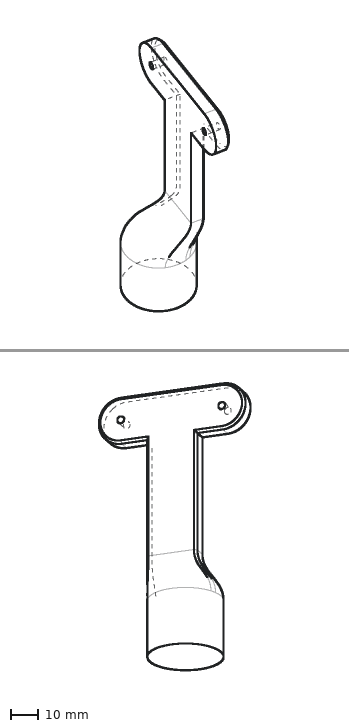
import cadquery as cq
import math

total_height = 99.8
socket_diameter = 28.0
socket_height = 22.0
socket_radius = socket_diameter / 2
back_y = socket_radius

plate_thickness = 6.0
back_chamfer = 1.0
stem_width = 20.0
stem_bottom = 35.9
head_length = 58.0
head_height = 18.1
head_center_z = total_height - head_height / 2
hole_diameter = 2.7
hole_spacing = head_length - head_height

blend_stations = 12
points_per_side = 8
end_pull = 7.5


def make_plate():
    """T-shaped plate with its back outline chamfered."""
    stem_height = head_center_z - stem_bottom
    front = cq.Workplane("XZ", origin=(0, back_y, 0))
    head = front.center(0, head_center_z).slot2D(head_length, head_height).extrude(plate_thickness)
    stem = (
        front.center(0, stem_bottom + stem_height / 2)
        .rect(stem_width, stem_height)
        .extrude(plate_thickness)
    )
    above_stem_bottom = cq.selectors.BoxSelector(
        (-head_length, back_y - back_chamfer / 2, stem_bottom + back_chamfer / 2),
        (head_length, back_y + back_chamfer / 2, total_height + back_chamfer),
    )
    plate = head.union(stem).faces(">Y").edges(above_stem_bottom).chamfer(back_chamfer)
    holes = (
        front.center(0, head_center_z)
        .pushPoints([(-hole_spacing / 2, 0), (hole_spacing / 2, 0)])
        .circle(hole_diameter / 2)
        .extrude(plate_thickness)
    )
    return plate.cut(holes)


def stem_corners():
    """Corners of the stem cross-section, clockwise from the back left corner."""
    half = stem_width / 2
    front_y = back_y - plate_thickness
    return [
        (-half + back_chamfer, back_y),
        (half - back_chamfer, back_y),
        (half, back_y - back_chamfer),
        (half, front_y),
        (-half, front_y),
        (-half, back_y - back_chamfer),
    ]


def blend_section(t):
    """Horizontal wire at blend parameter t: circle at t=0, stem cross-section at t=1."""
    share = t * t * (3 - 2 * t)
    lower_pull = socket_height + end_pull
    upper_pull = stem_bottom - end_pull
    z = (
        (1 - t) ** 3 * socket_height
        + 3 * (1 - t) ** 2 * t * lower_pull
        + 3 * (1 - t) * t**2 * upper_pull
        + t**3 * stem_bottom
    )
    corners = stem_corners()
    sides = list(zip(corners, corners[1:] + corners[:1]))
    perimeter = sum(math.dist(start, end) for start, end in sides)

    angle = -math.pi * math.dist(*sides[0]) / perimeter
    edges = []
    for start, end in sides:
        sweep = 2 * math.pi * math.dist(start, end) / perimeter
        points = []
        for index in range(points_per_side + 1):
            along = index / points_per_side
            turn = angle + sweep * along
            line_x = start[0] + (end[0] - start[0]) * along
            line_y = start[1] + (end[1] - start[1]) * along
            x = (1 - share) * socket_radius * math.sin(turn) + share * line_x
            y = (1 - share) * socket_radius * math.cos(turn) + share * line_y
            points.append(cq.Vector(x, y, z))
        if t == 0:
            edge = cq.Edge.makeThreePointArc(points[0], points[points_per_side // 2], points[-1])
        elif t == 1:
            edge = cq.Edge.makeLine(points[0], points[-1])
        else:
            edge = cq.Edge.makeSpline(points)
        edges.append(edge)
        angle += sweep
    return cq.Wire.assembleEdges(edges)


def make_blend():
    """Smooth transition from the round socket to the flat stem."""
    sections = [blend_section(station / blend_stations) for station in range(blend_stations + 1)]
    return cq.Workplane(obj=cq.Solid.makeLoft(sections))


socket = cq.Workplane("XY").circle(socket_radius).extrude(socket_height)
result = socket.union(make_blend()).union(make_plate())